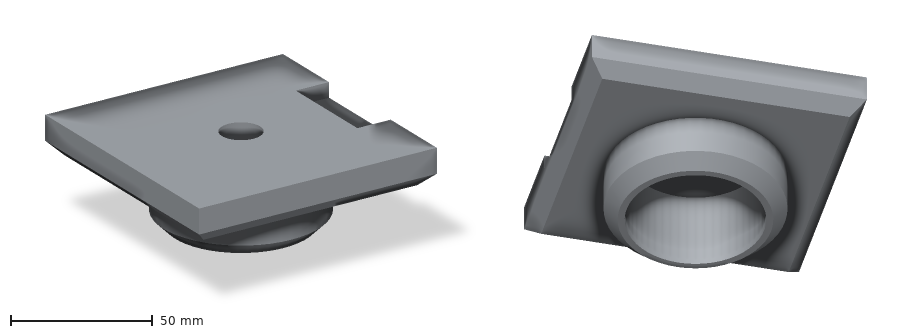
import cadquery as cq

plate_side = 100
plate_height = 15
bevel = 5

boss_diameter = 65
boss_height = 20
cavity_diameter = 50
roof_thickness = 5
cavity_depth = boss_height + plate_height - roof_thickness

hole_diameter = 16
notch_width = 40
notch_length = 14
notch_depth = 6


def make_plate():
    """Plate with its underside on Z = 0 and all bottom edges bevelled."""
    plate = cq.Workplane("XY").rect(plate_side, plate_side).extrude(plate_height)
    return plate.faces("<Z").chamfer(bevel)


def make_boss():
    """Boss hanging from the plate, bevelled around its lower rim."""
    boss = cq.Workplane("XY").circle(boss_diameter / 2).extrude(-boss_height)
    return boss.faces("<Z").chamfer(bevel)


def make_cavity():
    """Round recess from the bottom of the boss up to the plate roof."""
    bottom = cq.Workplane("XY").workplane(offset=-boss_height)
    return bottom.circle(cavity_diameter / 2).extrude(cavity_depth)


def make_hole():
    """Through hole on the Z axis."""
    bottom = cq.Workplane("XY").workplane(offset=-boss_height)
    return bottom.circle(hole_diameter / 2).extrude(boss_height + plate_height)


def make_notch():
    """Rectangular step in the top face, open at the middle of the +Y edge."""
    floor = cq.Workplane("XY").workplane(offset=plate_height - notch_depth)
    floor = floor.center(0, (plate_side - notch_length) / 2)
    return floor.rect(notch_width, notch_length).extrude(notch_depth)


body = make_plate().union(make_boss())
result = body.cut(make_cavity()).cut(make_hole()).cut(make_notch())